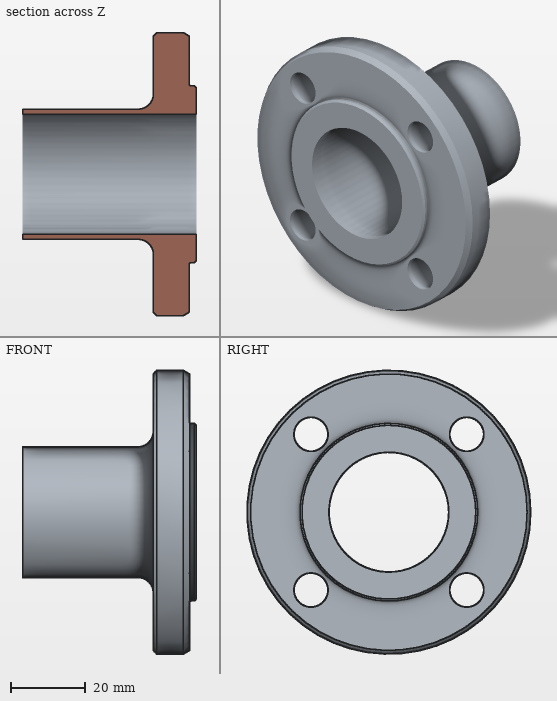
import cadquery as cq

total_length = 46.5
flange_thickness = 9.7
raised_face_height = 1.8
tube_length = total_length - flange_thickness - raised_face_height

flange_diameter = 76.0
tube_diameter = 35.0
bore_diameter = 32.0
raised_face_diameter = 47.6

bolt_hole_count = 4
bolt_hole_diameter = 9.05
bolt_circle_diameter = 59.0
first_bolt_angle = 45.0

neck_fillet = 4.0
rim_chamfer = 1.0
front_rim_chamfer_length = 1.7
raised_face_chamfer = 0.5
raised_face_fillet = 0.4


def turned_body():
    """Revolve the solid outer profile: tube, neck fillet, flange and raised face."""
    tube_radius = tube_diameter / 2
    flange_radius = flange_diameter / 2
    face_radius = raised_face_diameter / 2
    flange_front = tube_length + flange_thickness
    profile = (
        cq.Workplane("XY")
        .lineTo(0, tube_radius)
        .lineTo(tube_length - neck_fillet, tube_radius)
        .radiusArc((tube_length, tube_radius + neck_fillet), -neck_fillet)
        .lineTo(tube_length, flange_radius - rim_chamfer)
        .lineTo(tube_length + rim_chamfer, flange_radius)
        .lineTo(flange_front - front_rim_chamfer_length, flange_radius)
        .lineTo(flange_front, flange_radius - rim_chamfer)
        .lineTo(flange_front, face_radius + raised_face_fillet)
        .radiusArc((flange_front + raised_face_fillet, face_radius), -raised_face_fillet)
        .lineTo(total_length - raised_face_chamfer, face_radius)
        .lineTo(total_length, face_radius - raised_face_chamfer)
        .lineTo(total_length, 0)
        .close()
    )
    return profile.revolve(360, (0, 0, 0), (1, 0, 0))


def bore():
    """Through bore along the part axis."""
    return cq.Workplane("YZ").circle(bore_diameter / 2).extrude(total_length)


def bolt_holes():
    """Cutters for the bolt holes, evenly spaced around the flange."""
    return (
        cq.Workplane("YZ", origin=(tube_length, 0, 0))
        .polarArray(bolt_circle_diameter / 2, first_bolt_angle, 360, bolt_hole_count)
        .circle(bolt_hole_diameter / 2)
        .extrude(flange_thickness)
    )


result = turned_body().cut(bore()).cut(bolt_holes())